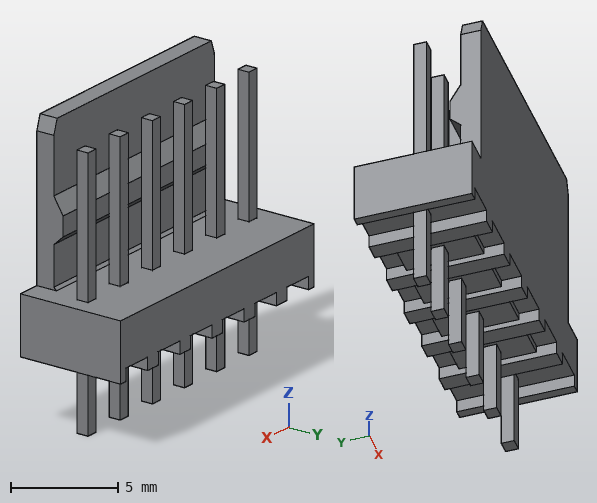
import cadquery as cq


PIN_COUNT = 6
PIN_PITCH = 2.53
PIN_SIZE = 0.64
PIN_LENGTH = 14.22
PIN_Y = 2.88

BASE_LENGTH = 15.25
BASE_DEPTH = 5.8
BASE_BOTTOM_Z = 3.54
BASE_TOP_Z = 6.71
BASE_HEIGHT = BASE_TOP_Z - BASE_BOTTOM_Z

CHANNEL_WIDTH = 1.7
CHANNEL_HEIGHT = 0.67
CHANNEL_TOP_Z = BASE_BOTTOM_Z + CHANNEL_HEIGHT

RIB_LENGTH = 9.22
RIB_HEIGHT = 0.37
RIB_SETBACK = 0.99
RIB_DEPTH = BASE_DEPTH - 2 * RIB_SETBACK

WALL_LENGTH = (PIN_COUNT - 1) * PIN_PITCH
WALL_THICKNESS = 0.99
WALL_TOP_Z = 15.26
ROOT_CHAMFER = 0.15
CORNER_WIDTH = 0.26
CORNER_HEIGHT = 0.78

LATCH_REACH = 0.53
LATCH_BOTTOM_Z = 9.0
LATCH_FLAT_BOTTOM_Z = 9.5
LATCH_FLAT_TOP_Z = 10.56
LATCH_TOP_Z = 11.45

FIRST_PIN_X = -(PIN_COUNT - 1) * PIN_PITCH / 2
PIN_POSITIONS = [FIRST_PIN_X + i * PIN_PITCH for i in range(PIN_COUNT)]


def block(length, depth, height, x_middle, y_front, z_bottom):
    """Box centred on x_middle, starting at the given front and bottom."""
    return (
        cq.Workplane("XY")
        .box(length, depth, height, centered=(True, False, False))
        .translate((x_middle, y_front, z_bottom))
    )


def make_pin(x):
    """Square pin standing at the given X."""
    return block(PIN_SIZE, PIN_SIZE, PIN_LENGTH, x, PIN_Y - PIN_SIZE / 2, 0)


def make_base():
    """Base block with channels between its feet and a rib across the inner channels."""
    base = block(BASE_LENGTH, BASE_DEPTH, BASE_HEIGHT, 0, 0, BASE_BOTTOM_Z)
    for x in PIN_POSITIONS:
        base = base.cut(block(CHANNEL_WIDTH, BASE_DEPTH, CHANNEL_HEIGHT, x, 0, BASE_BOTTOM_Z))
    rib = block(RIB_LENGTH, RIB_DEPTH, RIB_HEIGHT, 0, RIB_SETBACK, CHANNEL_TOP_Z - RIB_HEIGHT)
    return base.union(rib)


def make_wall():
    """Locking wall with a latch ridge, a chamfered root and sloped upper corners."""
    latch_y = WALL_THICKNESS + LATCH_REACH
    wall = (
        cq.Workplane("YZ")
        .moveTo(0, BASE_TOP_Z)
        .lineTo(WALL_THICKNESS + ROOT_CHAMFER, BASE_TOP_Z)
        .lineTo(WALL_THICKNESS, BASE_TOP_Z + ROOT_CHAMFER)
        .lineTo(WALL_THICKNESS, LATCH_BOTTOM_Z)
        .lineTo(latch_y, LATCH_FLAT_BOTTOM_Z)
        .lineTo(latch_y, LATCH_FLAT_TOP_Z)
        .lineTo(WALL_THICKNESS, LATCH_TOP_Z)
        .lineTo(WALL_THICKNESS, WALL_TOP_Z)
        .lineTo(0, WALL_TOP_Z)
        .close()
        .extrude(WALL_LENGTH / 2, both=True)
    )
    for side in (-1, 1):
        end_x = side * WALL_LENGTH / 2
        corner = (
            cq.Workplane("XZ")
            .moveTo(end_x, WALL_TOP_Z)
            .lineTo(end_x - side * CORNER_WIDTH, WALL_TOP_Z)
            .lineTo(end_x, WALL_TOP_Z - CORNER_HEIGHT)
            .close()
            .extrude(-WALL_THICKNESS)
        )
        wall = wall.cut(corner)
    return wall


def make_housing(pins):
    """Base and locking wall in one piece, with a matching hole for every pin."""
    housing = make_base().union(make_wall())
    for pin in pins:
        housing = housing.cut(pin)
    return housing


pins = [make_pin(x) for x in PIN_POSITIONS]
housing = make_housing(pins)

result = cq.Compound.makeCompound([housing.solids().val(), *[pin.val() for pin in pins]])